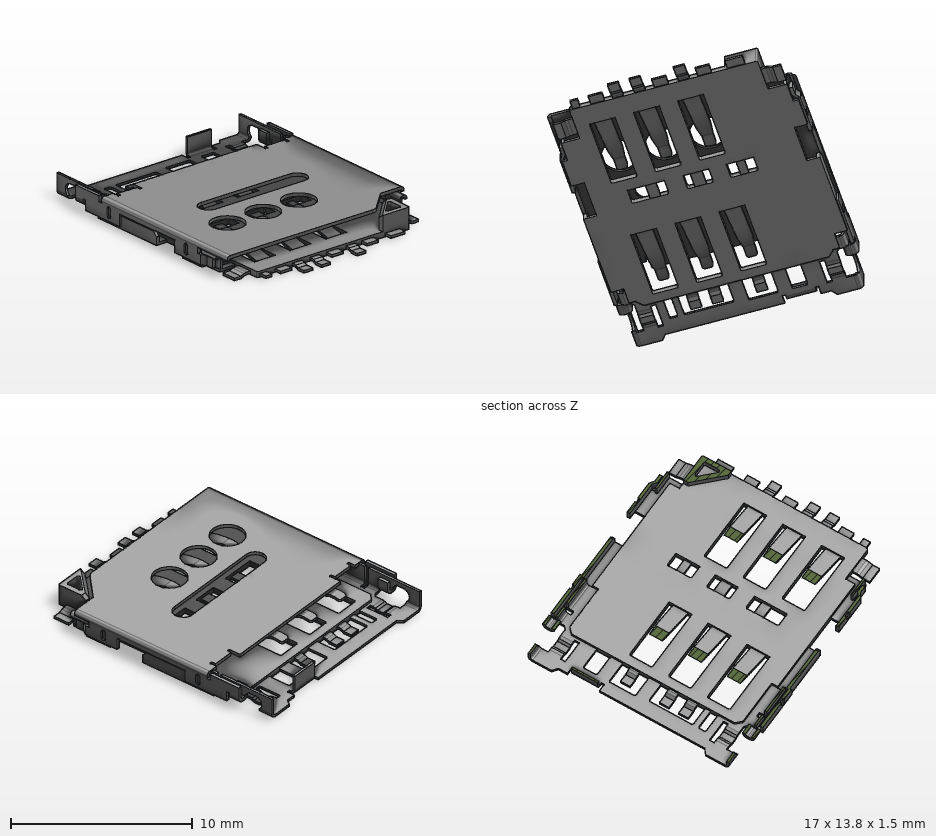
import cadquery as cq


LENGTH = 16.96
WIDTH = 13.85
TOP_Z = 1.5

COVER_T = 0.2
COVER_Y = WIDTH / 2
COVER_INNER_Y = COVER_Y - COVER_T
COVER_BEND_R = 0.24
COVER_FRONT_X = 4.29
COVER_REAR_X = 15.18
COVER_WALL_Z = 0.24
COVER_CORNER_X = 13.65
WALL_FRONT_X = 2.04
WALL_REAR_X = 12.62
JOG_X = 12.87

SHEET_T = 0.15
SHELL_Y = 6.56
SHELL_Z = 0.12
SHELL_TOP_Z = 1.45
SHELL_REAR_X = 5.77
SHEET_BEND_R = 0.3
SHELL_PLATE_TOP = SHELL_Z + SHEET_T

LARGE_WINDOW_X0 = 0.92
LARGE_WINDOW_X1 = 2.83
DIP_X0 = 1.09
DIP_X1 = 2.19
DIP_Y0 = 5.02
DIP_Y1 = 5.83
GAP_X0 = 3.61
GAP_X1 = 3.88
GAP_Y = 6.07

TRAY_FRONT_X = 2.51
TRAY_REAR_X = 15.98
TRAY_Y = 5.66
TRAY_WIDE_Y = 6.05
TRAY_REAR_Y = 5.43
TRAY_REAR_R = 0.1
TRAY_BOTTOM_Z = 0.07
TRAY_TOP_Z = 0.42
BASE_FRONT_X = 2.9
BASE_REAR_X = 14.05
BASE_Y = 6.82
BASE_TOP_Z = 0.24
WINDOW_CORNER_R = 0.1
SLOT_WINDOWS = [(1.75, 3.32), (-0.75, 0.75), (-3.95, -1.81)]
SLOT_WINDOW_X0 = 9.1
SLOT_WINDOW_X1 = 10.0

CONTACT_PITCH = 2.55
CONTACT_Y = [1.19 - CONTACT_PITCH * row for row in range(3)]
CONTACT_TIP_X = [3.35, 10.97]
WINDOW_LEAD = 0.27
WINDOW_LENGTH = 4.07
WINDOW_WIDTH = 1.5
TAIL_WIDTH = 0.63
TAIL_Y = [1.19, -1.35, -2.61]


def block(x0, x1, y0, y1, z0, z1):
    """Box given by its limits along each axis."""
    return cq.Workplane("XY").box(x1 - x0, y1 - y0, z1 - z0, centered=False).translate((x0, y0, z0))


def both_sides(shape):
    """The shape together with its mirror image across the centre plane Y = 0."""
    return shape.union(shape.mirror("XZ"))


def channel(x0, x1, y0, y1, z0, z1, thickness, bend_r, open_side):
    """U-section sheet along X, bent at the two edges opposite its open side."""
    bent_edges = "|X and <Z" if open_side == "up" else "|X and >Z"
    outer = block(x0, x1, y0, y1, z0, z1).edges(bent_edges).fillet(bend_r)
    floor = thickness if open_side == "up" else 0
    roof = thickness if open_side == "down" else 0
    inner = block(x0, x1, y0 + thickness, y1 - thickness, z0 + floor, z1 - roof)
    inner = inner.edges(bent_edges).fillet(bend_r - thickness)
    return outer.cut(inner)


def ribbon_along_x(points, y_mid, width):
    """Strip of sheet metal whose lower face follows (x, z) points."""
    upper = [(x, z + SHEET_T) for x, z in reversed(points)]
    strip = cq.Workplane("XZ").polyline(points + upper).close().extrude(width / 2, both=True)
    return strip.translate((0, y_mid, 0))


def ribbon_along_y(points, x0, x1):
    """Strip of sheet metal whose lower face follows (y, z) points."""
    upper = [(y, z + SHEET_T) for y, z in reversed(points)]
    return cq.Workplane("YZ").workplane(offset=x0).polyline(points + upper).close().extrude(x1 - x0)


def cover_front_edge():
    """Material removed at the card mouth: the stepped lip edge and its relief notches."""
    lip_x, lip_half, step_x, step_y = 3.99, 4.41, 4.48, 5.94
    notch_x, notch_w = 4.75, 0.15
    tall = (0, TOP_Z)
    removed = block(0, lip_x, -BASE_Y, BASE_Y, *tall)
    removed = removed.union(both_sides(block(0, step_x, lip_half, step_y, *tall)))
    removed = removed.union(both_sides(block(0, COVER_FRONT_X, step_y, COVER_Y, *tall)))
    for y in (lip_half, step_y):
        removed = removed.union(both_sides(block(0, notch_x, y, y + notch_w, *tall)))
    return removed


def cover_openings():
    """Long slot and the round inspection holes over the rear contact row."""
    slot_x, slot_length, slot_w = 8.99, 7.56, 1.24
    hole_x, hole_d = 11.53, 2.04
    roof = cq.Workplane("XY").workplane(offset=TOP_Z)
    slot = roof.center(slot_x, 0).slot2D(slot_length, slot_w, 90).extrude(-2 * COVER_T)
    holes = roof.pushPoints([(hole_x, y) for y in CONTACT_Y]).circle(hole_d / 2).extrude(-2 * COVER_T)
    return slot.union(holes)


def cover_roof():
    """Roof plate with rolled side edges and the cut corner at the tray block."""
    skirt_z = 1.19
    corner_y, cut_end_y, cut_blend_r = 5.25, 3.66, 0.51
    lip_margin = 0.34
    roof = channel(COVER_FRONT_X - lip_margin, COVER_REAR_X, -COVER_Y, COVER_Y,
                   skirt_z, TOP_Z, COVER_T, COVER_BEND_R, "down")
    beyond = COVER_REAR_X + 0.17
    corner = [(COVER_CORNER_X, COVER_Y), (COVER_CORNER_X, corner_y), (COVER_REAR_X, cut_end_y),
              (beyond, cut_end_y), (beyond, COVER_Y)]
    roof = roof.cut(cq.Workplane("XY").polyline(corner).close().extrude(TOP_Z))
    blend_point = (COVER_REAR_X, cut_end_y, TOP_Z - COVER_T / 2)
    roof = roof.edges(cq.selectors.NearestToPointSelector(blend_point)).fillet(cut_blend_r)
    return roof.cut(cover_front_edge()).cut(cover_openings())


def cover_wall():
    """One side wall (+Y) with its stepped lower edge, blind latch slots and shell window."""
    cheek_x, notch_z = 4.07, 1.14
    window_x0, window_x1, window_z = 5.85, 10.63, 0.98
    latch_x, latch_w, latch_h, latch_z = (4.94, 11.6), 0.3, 0.68, 0.76
    latch_depth = COVER_T / 2
    roll_z = TOP_Z - COVER_BEND_R
    wall = block(WALL_FRONT_X, WALL_REAR_X, COVER_INNER_Y, COVER_Y, COVER_WALL_Z, roll_z)
    wall = wall.union(block(WALL_FRONT_X, cheek_x, COVER_INNER_Y, COVER_Y, roll_z, TOP_Z))
    wall = wall.cut(block(cheek_x, COVER_FRONT_X, COVER_INNER_Y, COVER_Y, notch_z, TOP_Z))
    wall = wall.cut(block(window_x0, window_x1, COVER_INNER_Y, COVER_Y, 0, window_z))
    latches = cq.Workplane("XZ").workplane(offset=-COVER_Y).pushPoints([(x, latch_z) for x in latch_x])
    latches = latches.slot2D(latch_h, latch_w, 90).extrude(latch_depth)
    return wall.cut(latches).union(cover_wall_jog())


def cover_wall_jog():
    """Lower rear end of a side wall, stepping inward behind the main wall plane."""
    recess_x, end_x, recess, top_z = 13.16, 13.65, 0.2, 0.85
    recess_y = COVER_Y - recess
    outer = [(WALL_REAR_X, COVER_Y), (JOG_X, COVER_Y), (recess_x, recess_y), (end_x, recess_y)]
    inner = [(x, y - COVER_T) for x, y in reversed(outer)]
    plan = cq.Workplane("XY").workplane(offset=COVER_WALL_Z).polyline(outer + inner).close()
    return plan.extrude(top_z - COVER_WALL_Z)


def cover_wall_with_hook():
    """Side wall whose front foot curls inward and up, clasping the shell wall."""
    clear_x, clear_z = 2.9, 0.85
    hook_end_x, hook_y, hook_z, hook_top, hook_r = 2.71, 6.14, 0.42, 1.27, 0.34
    wall = cover_wall().cut(block(WALL_FRONT_X, clear_x, COVER_INNER_Y, COVER_Y, 0, clear_z))
    hook = channel(WALL_FRONT_X, hook_end_x, hook_y, COVER_Y, hook_z, hook_top, COVER_T, hook_r, "up")
    return wall.union(hook)


def shell_mouth_outline():
    """Material removed ahead of the stepped front edge of the shell plate."""
    ear_y, edge_y, edge_x = 5.04, 4.78, 0.32
    points = [(0, ear_y), (edge_x, edge_y), (edge_x, -edge_y), (0, -ear_y)]
    return cq.Workplane("XY").polyline(points).close().extrude(TOP_Z)


def shell_windows():
    """Openings in the shell plate ahead of the tray."""
    behind_tray = TRAY_FRONT_X + 0.17
    large_chamfer = 0.17
    relief_x0, relief_x1, relief_y = 0.9, 2.34, 4.71
    openings = [
        (1.1, behind_tray, 2.78, 3.68),
        (1.1, behind_tray, 0.27, 1.98),
        (1.24, behind_tray, -3.41, -0.53),
        (1.24, behind_tray, -4.24, -3.77),
    ]
    cutter = None
    for x0, x1, y0, y1 in openings:
        window = block(x0, x1, y0, y1, 0, TRAY_TOP_Z).edges("|Z and <X").fillet(WINDOW_CORNER_R)
        cutter = window if cutter is None else cutter.union(window)
    relief = block(relief_x0, relief_x1, relief_y, DIP_Y0, 0, TRAY_TOP_Z)
    large = block(LARGE_WINDOW_X0, LARGE_WINDOW_X1, DIP_Y1, SHELL_Y - SHEET_T, 0, TRAY_TOP_Z)
    large = large.edges("|Z and >X and <Y").chamfer(large_chamfer)
    gap = block(GAP_X0, GAP_X1, GAP_Y, SHELL_Y, 0, TOP_Z)
    return cutter.union(both_sides(relief.union(large).union(gap)))


def shell_side_cutout():
    """Keyhole through both shell walls: round front, sloped rear, open into the large plate window."""
    front_x, bottom_z, top_z, slope_x, slope_z = 0.73, 0.37, 1.15, 1.63, 0.81
    arc_x = front_x + (top_z - bottom_z) / 2
    profile = cq.Workplane("XZ").moveTo(LARGE_WINDOW_X0, bottom_z)
    profile = profile.threePointArc((front_x, (bottom_z + top_z) / 2), (arc_x, top_z))
    profile = profile.lineTo(slope_x, top_z).lineTo(slope_x + top_z - slope_z, slope_z)
    profile = profile.lineTo(LARGE_WINDOW_X1, slope_z).lineTo(LARGE_WINDOW_X1, 0)
    profile = profile.lineTo(LARGE_WINDOW_X0, 0).close()
    keyhole = profile.extrude(SHELL_Y, both=True)
    bend_y = SHELL_Y - SHEET_BEND_R
    return keyhole.cut(block(0, SHELL_REAR_X, -bend_y, bend_y, 0, TOP_Z))


def shell_dip():
    """Solder bridge pressed down from the shell plate to the solder plane."""
    shoulder, ramp, shoulder_z = 0.2, 0.15, 0.08
    run = shoulder + ramp
    points = [(DIP_X0 - SHEET_T, SHELL_Z), (DIP_X0, SHELL_Z), (DIP_X0 + shoulder, shoulder_z),
              (DIP_X0 + run, 0), (DIP_X1 - run, 0), (DIP_X1 - shoulder, shoulder_z),
              (DIP_X1, SHELL_Z), (DIP_X1 + SHEET_T, SHELL_Z)]
    return ribbon_along_x(points, (DIP_Y0 + DIP_Y1) / 2, DIP_Y1 - DIP_Y0)


def shell_latch_tab():
    """Upright tab folded from the front edge, with a relief notch at each end."""
    front_x, root_x, y0, y1, top_z, notch = 0.42, 0.81, 2.29, 4.0, 1.37, 0.19
    tab = block(front_x, root_x, y0, y1, SHELL_Z, top_z).edges("|Y and <X and <Z").fillet(SHEET_BEND_R)
    inner = block(front_x + SHEET_T, root_x, y0, y1, SHELL_PLATE_TOP, top_z)
    tab = tab.cut(inner.edges("|Y and <X and <Z").fillet(SHEET_BEND_R - SHEET_T))
    return tab, block(0, root_x, y0 - notch, y1 + notch, 0, TOP_Z)


def shell():
    """Front shell: U-channel with its windows, solder bridges and latch tab."""
    body = channel(0, SHELL_REAR_X, -SHELL_Y, SHELL_Y, SHELL_Z, SHELL_TOP_Z, SHEET_T, SHEET_BEND_R, "up")
    tab, tab_clearance = shell_latch_tab()
    dip_opening = block(DIP_X0, DIP_X1, DIP_Y0, DIP_Y1, 0, TRAY_TOP_Z)
    for cutter in (shell_mouth_outline(), shell_windows(), shell_side_cutout(),
                   both_sides(dip_opening), tab_clearance):
        body = body.cut(cutter)
    return body.union(both_sides(shell_dip())).union(tab)


def base():
    """Shell floor under the tray with side panels and arched rear springs."""
    panel_x0, panel_x1, panel_z, panel_chamfer = 5.75, 8.92, 0.85, 0.27
    opening_x1 = 11.2
    floor = block(BASE_FRONT_X, BASE_REAR_X, -BASE_Y, BASE_Y, TRAY_BOTTOM_Z, BASE_TOP_Z)
    floor = floor.cut(both_sides(block(BASE_FRONT_X, GAP_X1, GAP_Y, BASE_Y, 0, TOP_Z)))
    floor = floor.cut(both_sides(block(panel_x1, opening_x1, TRAY_WIDE_Y, BASE_Y, 0, TOP_Z)))
    floor = floor.cut(both_sides(block(JOG_X, BASE_REAR_X, BASE_Y - 2 * SHEET_T, BASE_Y, 0, TOP_Z)))
    panel = block(panel_x0, panel_x1, BASE_Y - COVER_T, BASE_Y, TRAY_BOTTOM_Z, panel_z)
    panel = panel.edges("|Y and >X and >Z").chamfer(panel_chamfer)
    return floor.union(both_sides(panel)).union(both_sides(rear_spring()))


def rear_spring():
    """Arched strip beside the tray: an inner leg from the floor and a short outer lip."""
    front_x, inner_y, top_z, lip_z, arch_r = 12.79, 6.33, 1.15, 0.88, 0.24
    arch = channel(front_x, BASE_REAR_X, inner_y, BASE_Y, TRAY_BOTTOM_Z, top_z, SHEET_T, arch_r, "down")
    return arch.cut(block(front_x, BASE_REAR_X, BASE_Y - SHEET_T, BASE_Y, 0, lip_z))


def tray_rear(z0, z1):
    """Rear stretch of the tray with rounded outer corners, between two heights."""
    rear = block(COVER_CORNER_X, TRAY_REAR_X, -TRAY_REAR_Y, TRAY_REAR_Y, z0, z1)
    return rear.edges("|Z and >X").fillet(TRAY_REAR_R)


def tray_plate():
    """Tray floor with chamfered front corners and wider flanges under the cover."""
    corner = 0.34
    front = block(TRAY_FRONT_X, COVER_CORNER_X, -TRAY_Y, TRAY_Y, TRAY_BOTTOM_Z, TRAY_TOP_Z)
    front = front.edges("|Z and <X").chamfer(corner)
    middle = block(SHELL_REAR_X, COVER_CORNER_X, -TRAY_WIDE_Y, TRAY_WIDE_Y, TRAY_BOTTOM_Z, TRAY_TOP_Z)
    return front.union(middle).union(tray_rear(TRAY_BOTTOM_Z, TRAY_TOP_Z))


def tray_corner_block():
    """Raised corner block with a bevelled diagonal face and a triangular pocket."""
    bevel_z, block_top_z = 1.15, 1.39
    face_x, face_y = 14.05, 3.51
    bevel_run = 0.3
    diagonal, pocket_diagonal = 19.15, 19.6
    pocket_x, pocket_y, pocket_r = 15.67, 5.09, 0.1

    def outline(shift):
        return [(face_x + shift, TRAY_REAR_Y), (TRAY_REAR_X, TRAY_REAR_Y), (TRAY_REAR_X, face_y),
                (diagonal - face_y + shift, face_y), (face_x + shift, diagonal - face_x)]

    lower = cq.Workplane("XY").workplane(offset=TRAY_TOP_Z).polyline(outline(0)).close()
    lower = lower.extrude(bevel_z - TRAY_TOP_Z)
    upper = cq.Workplane("XY").workplane(offset=bevel_z).polyline(outline(0)).close()
    upper = upper.workplane(offset=block_top_z - bevel_z)
    upper = upper.polyline(outline(bevel_run)).close().loft(ruled=True)
    corner = [(pocket_diagonal - pocket_y, pocket_y), (pocket_x, pocket_y),
              (pocket_x, pocket_diagonal - pocket_x)]
    pocket = cq.Workplane("XY").workplane(offset=TRAY_TOP_Z).polyline(corner).close().extrude(block_top_z)
    solid = lower.union(upper).intersect(tray_rear(TRAY_TOP_Z, block_top_z))
    return solid.cut(pocket.edges("|Z").fillet(pocket_r))


def tray_windows():
    """Openings through the tray and shell floor around the contacts and under the cover slot."""
    cutter = None
    for tip_x in CONTACT_TIP_X:
        x0 = tip_x - WINDOW_LEAD
        for y in CONTACT_Y:
            window = block(x0, x0 + WINDOW_LENGTH, y - WINDOW_WIDTH / 2, y + WINDOW_WIDTH / 2, 0, TRAY_TOP_Z)
            window = window.edges("|Z and <X").fillet(WINDOW_CORNER_R)
            cutter = window if cutter is None else cutter.union(window)
    for y0, y1 in SLOT_WINDOWS:
        window = block(SLOT_WINDOW_X0, SLOT_WINDOW_X1, y0, y1, 0, TRAY_TOP_Z)
        cutter = cutter.union(window.edges("|Z and <X").fillet(WINDOW_CORNER_R))
    return cutter


def contact(tip_x, y_mid):
    """Spring arm that rises from the tray floor to a crest and curls down at its tip."""
    tip_z, crest_z, root_z = 0.8, 0.88, 0.17
    tip_half, root_half, tip_r = 0.32, 0.5, 0.17
    neck_half, shoulder_half, shoulder_run = 0.35, 0.44, 0.76
    crest_run, curl_run, anchor = 0.7, 0.25, 0.17
    curl_z = (tip_z + 3 * crest_z) / 4
    crest_x = tip_x + crest_run
    root_x = tip_x - WINDOW_LEAD + WINDOW_LENGTH
    profile = cq.Workplane("XZ").moveTo(tip_x, tip_z)
    profile = profile.threePointArc((tip_x + curl_run, curl_z), (crest_x, crest_z))
    profile = profile.lineTo(root_x, root_z).lineTo(root_x + anchor, root_z)
    profile = profile.lineTo(root_x + anchor, root_z + SHEET_T).lineTo(root_x, root_z + SHEET_T)
    profile = profile.lineTo(crest_x, crest_z + SHEET_T)
    profile = profile.threePointArc((tip_x + curl_run, curl_z + SHEET_T), (tip_x, tip_z + SHEET_T)).close()
    arm = profile.extrude(root_half, both=True)
    outline = [(tip_x, -tip_half), (crest_x, -tip_half), (crest_x + anchor, -neck_half),
               (crest_x + shoulder_run, -shoulder_half),
               (root_x, -root_half), (root_x + anchor, -root_half)]
    outline += [(x, -y) for x, y in reversed(outline)]
    plan = cq.Workplane("XY").polyline(outline).close().extrude(TOP_Z).edges("|Z and <X").fillet(tip_r)
    return arm.intersect(plan).translate((0, y_mid, 0))


def contacts():
    """Both contact rows, and the lead strips that cross the windows under the cover slot."""
    lead_strips = [(2.55, 0.47), (0, 0.68), (-2.61, 0.61)]
    overlap = 0.17
    arms = [contact(tip_x, y) for tip_x in CONTACT_TIP_X for y in CONTACT_Y]
    leads = [block(SLOT_WINDOW_X0 - overlap, SLOT_WINDOW_X1 + overlap, y - w / 2, y + w / 2,
                   BASE_TOP_Z - SHEET_T, BASE_TOP_Z) for y, w in lead_strips]
    return arms + leads


def solder_tails():
    """Bent tails at both ends, flat rear tabs, and the two corner feet."""
    tail_z, knee_z, bury = 0.14, 0.1, 0.17
    front_tail = [(1.53, 0), (2.04, 0), (2.24, knee_z), (2.4, tail_z), (TRAY_FRONT_X + bury, tail_z)]
    rear_tail = [(TRAY_REAR_X - bury, tail_z), (16.08, tail_z), (16.26, knee_z), (16.45, 0), (LENGTH, 0)]
    tails = [ribbon_along_x(path, y, TAIL_WIDTH) for path in (front_tail, rear_tail) for y in TAIL_Y]

    rear_tab_x, rear_tab_z = 16.47, 0.14
    rear_tabs = [(3.68, 4.7), (1.98, 2.78), (-0.53, 0.29), (-4.19, -3.4), (-5.24, -4.8)]
    for y0, y1 in rear_tabs:
        tails.append(block(TRAY_REAR_X - bury, rear_tab_x, y0, y1, rear_tab_z, rear_tab_z + SHEET_T))

    foot_x0, foot_x1 = 14.35, 15.37
    foot_path = [(TRAY_REAR_Y - bury, tail_z), (5.7, tail_z), (5.89, knee_z), (6.1, 0), (SHELL_Y, 0)]
    tails.append(both_sides(ribbon_along_y(foot_path, foot_x0, foot_x1)))
    return tails


connector = tray_plate().union(base()).union(shell())
connector = connector.cut(tray_windows()).union(tray_corner_block())
connector = connector.union(cover_roof()).union(both_sides(cover_wall_with_hook()))
for metal_part in contacts() + solder_tails():
    connector = connector.union(metal_part)

result = connector